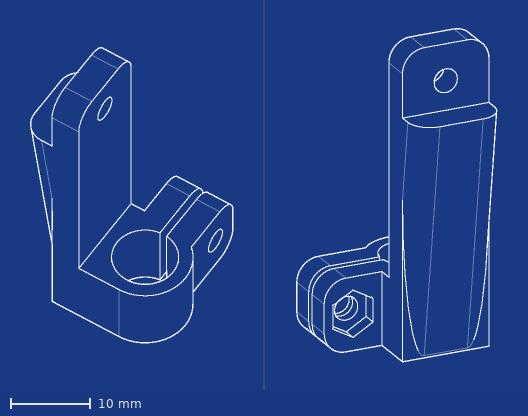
import cadquery as cq
import math

ring_radius = 6.0
bore_diameter = 8.4
clamp_height = 10.0

ears_width = 8.0
ears_end_y = 14.0
ear_corner_radius = 3.0
slot_width = 1.0
screw_diameter = 3.2
clamp_screw_y = 10.0
clamp_screw_z = clamp_height / 2
nut_corner_diameter = 6.4
nut_depth = 2.0

plate_left_x = -10.0
plate_thickness = 4.0
plate_width = 2 * ring_radius
plate_height = 42.0
plate_corner_radius = 3.0
plate_hole_z = 37.0

pad_tilt = 8.0
pad_length = 33.0
pad_top_z = 33.0
pad_corner_radius = 3.0

trim_margin = 1.0


def block(x_min, x_max, y_min, y_max, z_min, z_max):
    """Axis-aligned box between the given limits."""
    size = (x_max - x_min, y_max - y_min, z_max - z_min)
    return cq.Workplane("XY").box(*size, centered=False).translate((x_min, y_min, z_min))


def make_plate():
    plate = block(
        plate_left_x, plate_left_x + plate_thickness,
        -plate_width / 2, plate_width / 2,
        0, plate_height,
    )
    return plate.edges("|X and >Z").fillet(plate_corner_radius)


def make_clamp_body():
    ring = cq.Workplane("XY").circle(ring_radius).extrude(clamp_height)
    bridge = block(plate_left_x, 0, -ring_radius, ring_radius, 0, clamp_height)
    ears = block(-ears_width / 2, ears_width / 2, 0, ears_end_y, 0, clamp_height)
    ears = ears.edges("|X and >Y").fillet(ear_corner_radius)
    return ring.union(bridge).union(ears)


def make_pad():
    """Round-cornered bar leaning away from the plate, trimmed to the plate face and a level top."""
    tilt = math.radians(pad_tilt)
    face_rise = pad_length * math.cos(tilt)
    face_reach = pad_length * math.sin(tilt)
    bar_depth = pad_corner_radius + face_reach
    bar = block(0, bar_depth, -plate_width / 2, plate_width / 2, 0, pad_length + bar_depth)
    bar = bar.edges("|Z and <X").fillet(pad_corner_radius)
    bar = bar.rotate((0, 0, 0), (0, 1, 0), -pad_tilt)
    bar = bar.translate((plate_left_x, 0, pad_top_z - face_rise))
    room = block(
        plate_left_x - face_reach - trim_margin, plate_left_x,
        -plate_width / 2, plate_width / 2,
        0, pad_top_z,
    )
    return bar.intersect(room)


def make_bore_and_slot():
    bore = cq.Workplane("XY").circle(bore_diameter / 2).extrude(clamp_height)
    slot = block(-slot_width / 2, slot_width / 2, 0, ears_end_y, 0, clamp_height)
    return bore.union(slot)


def screw_hole(x_min, x_max, y, z):
    """Cylinder along X for a screw hole."""
    profile = cq.Workplane("YZ", origin=(x_min, y, z)).circle(screw_diameter / 2)
    return profile.extrude(x_max - x_min)


def make_nut_pocket():
    """Hexagonal recess in the -X ear, with corners pointing up and down."""
    profile = cq.Workplane("YZ", origin=(-ears_width / 2, clamp_screw_y, clamp_screw_z))
    profile = profile.transformed(rotate=(0, 0, 90)).polygon(6, nut_corner_diameter)
    return profile.extrude(nut_depth)


plate_hole = screw_hole(plate_left_x, plate_left_x + plate_thickness, 0, plate_hole_z)
clamp_hole = screw_hole(-ears_width / 2, ears_width / 2, clamp_screw_y, clamp_screw_z)

result = (
    make_plate()
    .union(make_clamp_body())
    .union(make_pad())
    .cut(make_bore_and_slot())
    .cut(plate_hole)
    .cut(clamp_hole)
    .cut(make_nut_pocket())
)